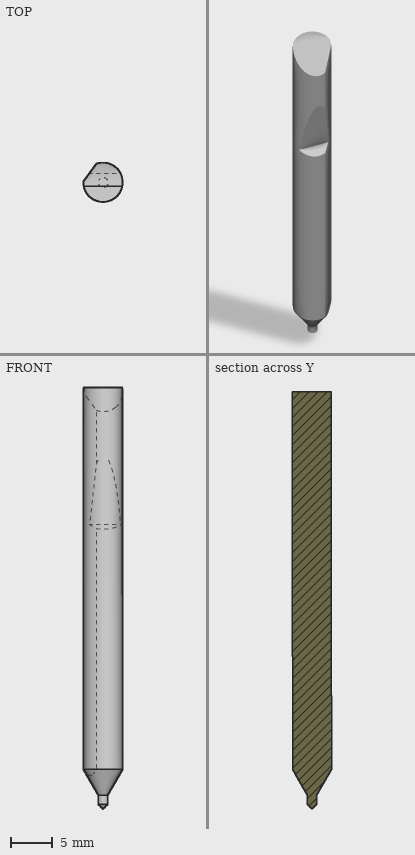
import cadquery as cq
import math

shank_diameter = 4.7625
overall_length = 50.8
shank_radius = shank_diameter / 2

pilot_diameter = 1.19
pilot_length = 1.1
point_angle = 90.0
shoulder_angle = 60.0

flat_half_angle = 34.0
flat_facing_angle = 36.0

bevel_start_y = -0.5
bevel_angle = 45.0

notch_top_drop = 8.2
notch_root_drop = 16.5
notch_bottom_drop = 17.05
notch_depth = 1.27

clearance = 1.0

pilot_radius = pilot_diameter / 2
point_height = pilot_radius / math.tan(math.radians(point_angle / 2))
shoulder_start_z = point_height + pilot_length
shoulder_height = (shank_radius - pilot_radius) / math.tan(math.radians(shoulder_angle / 2))
shank_start_z = shoulder_start_z + shoulder_height


def make_turned_body():
    """Shank and stepped tip as one revolved profile, point at the origin."""
    return (
        cq.Workplane("XZ")
        .moveTo(0, 0)
        .lineTo(pilot_radius, point_height)
        .lineTo(pilot_radius, shoulder_start_z)
        .lineTo(shank_radius, shank_start_z)
        .lineTo(shank_radius, overall_length)
        .lineTo(0, overall_length)
        .close()
        .revolve(360, (0, 0), (0, 1))
    )


def make_flat_cutter():
    """Block whose inner face is the full-length flat."""
    distance_from_axis = shank_radius * math.cos(math.radians(flat_half_angle))
    return (
        cq.Workplane("XY")
        .box(shank_radius, 2 * shank_diameter, overall_length, centered=(False, True, False))
        .translate((-distance_from_axis - shank_radius, 0, 0))
        .rotate((0, 0, 0), (0, 0, 1), -flat_facing_angle)
    )


def make_side_cutter(points):
    """Prism through the full width in X from a list of (y, z) points."""
    return cq.Workplane("YZ").polyline(points).close().extrude(shank_diameter, both=True)


def make_bevel_cutter():
    """Wedge that slopes the top end down towards +Y."""
    outer_y = shank_radius + clearance
    drop = (outer_y - bevel_start_y) * math.tan(math.radians(bevel_angle))
    return make_side_cutter([
        (bevel_start_y, overall_length),
        (outer_y, overall_length - drop),
        (outer_y, overall_length),
    ])


def make_notch_cutter():
    """Long shallow ramp with a short return face, cut into the +Y side."""
    outer_y = shank_radius + clearance
    top_z = overall_length - notch_top_drop
    root_z = overall_length - notch_root_drop
    bottom_z = overall_length - notch_bottom_drop
    return make_side_cutter([
        (shank_radius, top_z),
        (shank_radius - notch_depth, root_z),
        (shank_radius, bottom_z),
        (outer_y, bottom_z),
        (outer_y, top_z),
    ])


result = (
    make_turned_body()
    .cut(make_flat_cutter())
    .cut(make_bevel_cutter())
    .cut(make_notch_cutter())
)